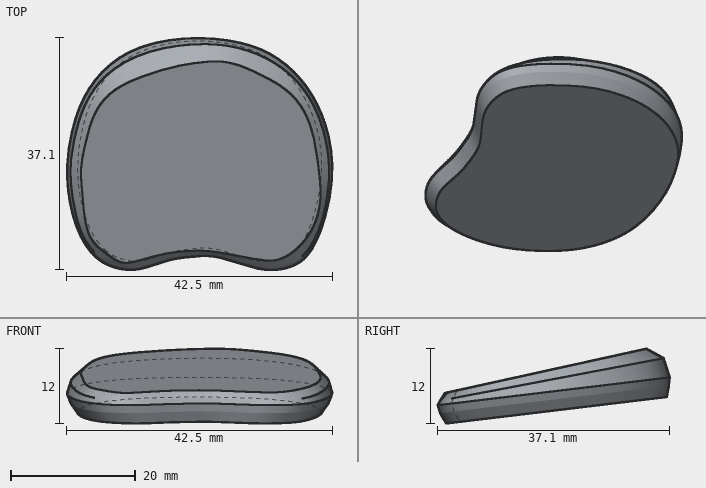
import cadquery as cq

TOP_PLANE = (2.8, 0.22)
SHOULDER_PLANE = (1.2, 0.19)
WAIST_PLANE = (-0.75, 0.12)
LOWER_SHOULDER_PLANE = (-2.12, 0.12)
BOTTOM_PLANE = (-3.85, 0.12)

SHOULDER_INSET = 0.25
LOWER_SHOULDER_INSET = 0.3

BOTTOM_SCALE_X = 0.92
BOTTOM_SCALE_Y = 0.95
BOTTOM_SHIFT_Y = 0.45

WAIST_OUTLINE = [
    (0.13, -16.35), (5.15, -17.1), (10.7, -18.55), (13.9, -18.25), (16.25, -17.1), (18.65, -13.95),
    (20.2, -9.55), (21.25, -2.45), (20.45, 3.5), (18.65, 8.25), (15.2, 13.0),
    (10.95, 16.2), (5.95, 17.92), (0.2, 18.55), (-5.15, 18.18), (-11.5, 16.2),
    (-15.7, 13.0), (-18.9, 8.25), (-20.45, 3.5), (-21.25, -2.45), (-20.45, -9.17),
    (-18.65, -13.95), (-15.85, -17.1), (-13.1, -18.3), (-10.85, -18.55), (-5.15, -17.07),
]

TOP_OUTLINE = [
    (0, -15.45), (4.37, -15.95), (9.15, -16.85), (12.15, -17), (15.7, -15.0), (17.6, -12.7),
    (19.32, -7.0), (19.1, -3.1), (18.55, 0.98), (16.9, 6.45), (14.6, 9.55),
    (9.65, 12.75), (4.25, 14.7), (0, 14.65), (-5.5, 13.6), (-9.17, 12.4),
    (-14.45, 9.55), (-16.78, 6.45), (-18.1, 2.5), (-19.0, -2.45), (-18.75, -7.05),
    (-16.9, -14.2), (-14.8, -16.05), (-12.3, -17.35), (-9.5, -17), (-4.9, -15.85),
]


def blend(start, end, fraction):
    """Value the given fraction of the way from start to end."""
    return start + fraction * (end - start)


def blend_outlines(start, end, fraction):
    """Outline the given fraction of the way from one outline to another."""
    return [
        (blend(start_x, end_x, fraction), blend(start_y, end_y, fraction))
        for (start_x, start_y), (end_x, end_y) in zip(start, end)
    ]


def ring(outline, plane):
    """Smooth closed wire through the outline points, raised onto a tilted plane."""
    height, slope = plane
    points = [cq.Vector(x, y, height + slope * y) for x, y in outline]
    return cq.Wire.assembleEdges([cq.Edge.makeSpline(points, periodic=True)])


bottom_outline = [
    (BOTTOM_SCALE_X * x, BOTTOM_SCALE_Y * y + BOTTOM_SHIFT_Y) for x, y in WAIST_OUTLINE
]
shoulder_outline = blend_outlines(WAIST_OUTLINE, TOP_OUTLINE, SHOULDER_INSET)
lower_shoulder_outline = blend_outlines(WAIST_OUTLINE, bottom_outline, LOWER_SHOULDER_INSET)

rings = [
    ring(bottom_outline, BOTTOM_PLANE),
    ring(lower_shoulder_outline, LOWER_SHOULDER_PLANE),
    ring(WAIST_OUTLINE, WAIST_PLANE),
    ring(shoulder_outline, SHOULDER_PLANE),
    ring(TOP_OUTLINE, TOP_PLANE),
]
result = cq.Workplane(cq.Solid.makeLoft(rings, True))